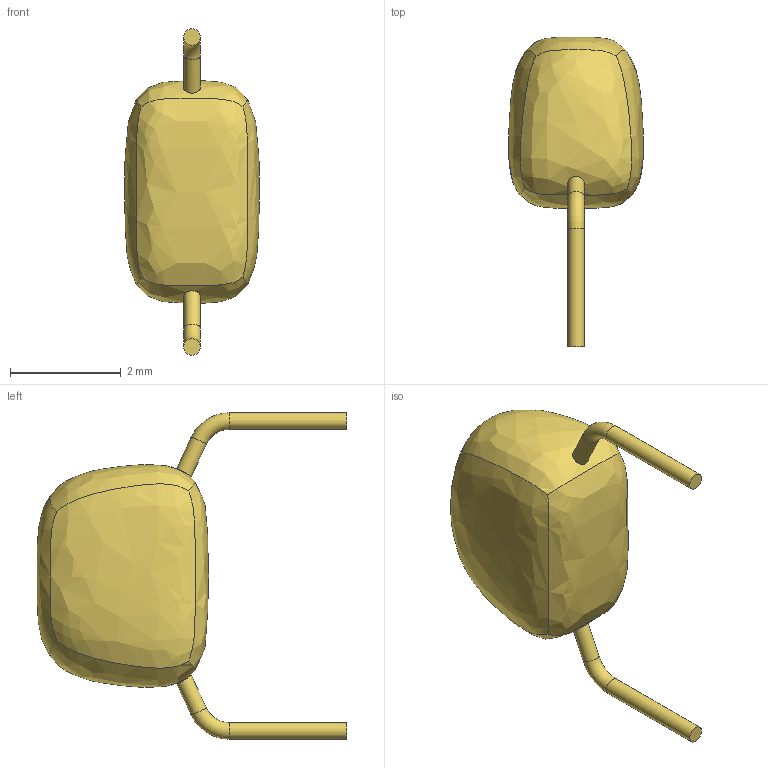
import cadquery as cq
import math

BODY_WIDTH = 2.44
BODY_LENGTH = 3.1
BODY_HEIGHT = 4.03
BODY_EXPONENT = 4.2
SECTION_EXPONENT = 3.2
SECTION_CHANGE = 1.2
WIDTH_TAPER = 0.063
HEIGHT_TAPER = 0.082
END_NARROWING = 0.09
FACE_STEPS = 12
SURFACE_TOLERANCE = 0.001
SURFACE_SMOOTHING = (1, 1, 1)
SEAM_TOLERANCE = 0.005

LEAD_DIAMETER = 0.3
LEAD_PITCH = 5.6
LEAD_REACH = 2.5
LEAD_STRAIGHT = 2.13
LEAD_BEND_RADIUS = 0.6
LEAD_BEND_ANGLE = 65
LEAD_SLANT = 1.2

BODY_FRONT = -BODY_LENGTH / 2
LEAD_TIP = BODY_FRONT - LEAD_REACH


def taper_factor(along, taper):
    """Relative cross size of the body at a place from -1 (front) to 1 (back)."""
    return 1 - taper * along - END_NARROWING * along**2


def largest_factor(taper):
    """Greatest half size of the tapered outline, as a multiple of its half size at the middle."""
    samples = 200
    places = [2 * step / samples - 1 for step in range(samples + 1)]
    return max(
        taper_factor(place, taper) * (1 - abs(place) ** BODY_EXPONENT) ** (1 / BODY_EXPONENT)
        for place in places
    )


HALF_WIDTH = BODY_WIDTH / 2 / largest_factor(WIDTH_TAPER)
HALF_HEIGHT = BODY_HEIGHT / 2 / largest_factor(HEIGHT_TAPER)


def power_norm(parts, exponent):
    """Length of a vector whose parts are summed as powers of the exponent."""
    return sum(abs(part) ** exponent for part in parts) ** (1 / exponent)


def body_point(direction):
    """Point of the body surface for a direction that points at the surface of a cube."""
    size = power_norm(direction, BODY_EXPONENT)
    x, y, z = (part / size for part in direction)

    rounding = 1.0
    if x or z:
        section_exponent = SECTION_EXPONENT - SECTION_CHANGE * y
        rounding = power_norm((x, z), BODY_EXPONENT) / power_norm((x, z), section_exponent)

    return cq.Vector(
        HALF_WIDTH * x * rounding * taper_factor(y, WIDTH_TAPER),
        BODY_LENGTH / 2 * y,
        HALF_HEIGHT * z * rounding * taper_factor(y, HEIGHT_TAPER),
    )


def body_face(axis, side):
    """One of the six smooth faces; axis 0, 1, 2 is X, Y, Z and side is -1 or 1."""
    spread = [math.tan(math.pi / 4 * (2 * step / FACE_STEPS - 1)) for step in range(FACE_STEPS + 1)]
    grid = []
    for first in spread:
        row = []
        for second in spread:
            direction = [first, second]
            direction.insert(axis, side)
            row.append(body_point(direction))
        grid.append(row)
    return cq.Face.makeSplineApprox(grid, SURFACE_TOLERANCE, SURFACE_SMOOTHING, minDeg=3, maxDeg=5)


def make_body():
    faces = [body_face(axis, side) for axis in range(3) for side in (-1, 1)]
    shell = cq.occ_impl.shapes.shell(*faces, tol=SEAM_TOLERANCE)
    return cq.Workplane(obj=cq.Solid.makeSolid(shell).fix())


def lead_path(side):
    """Wire axis in the YZ plane from the tip to inside the body; side is 1 for the upper lead."""

    def bend_point(degrees):
        angle = math.radians(degrees)
        y = LEAD_TIP + LEAD_STRAIGHT + LEAD_BEND_RADIUS * math.sin(angle)
        z = LEAD_PITCH / 2 - LEAD_BEND_RADIUS * (1 - math.cos(angle))
        return y, side * z

    slant_angle = math.radians(LEAD_BEND_ANGLE)
    return (
        cq.Workplane("YZ")
        .moveTo(LEAD_TIP, side * LEAD_PITCH / 2)
        .lineTo(*bend_point(0))
        .threePointArc(bend_point(LEAD_BEND_ANGLE / 2), bend_point(LEAD_BEND_ANGLE))
        .line(LEAD_SLANT * math.cos(slant_angle), -side * LEAD_SLANT * math.sin(slant_angle))
    )


def make_lead(side, body):
    """Bent wire that ends where it meets the surface of the body."""
    wire = (
        cq.Workplane("XZ", origin=(0, LEAD_TIP, side * LEAD_PITCH / 2))
        .circle(LEAD_DIAMETER / 2)
        .sweep(lead_path(side))
    )
    return cq.Workplane(obj=wire.cut(body).solids().val())


body = make_body()
leads = [make_lead(side, body) for side in (1, -1)]

result = cq.Compound.makeCompound([body.val(), *(lead.val() for lead in leads)])